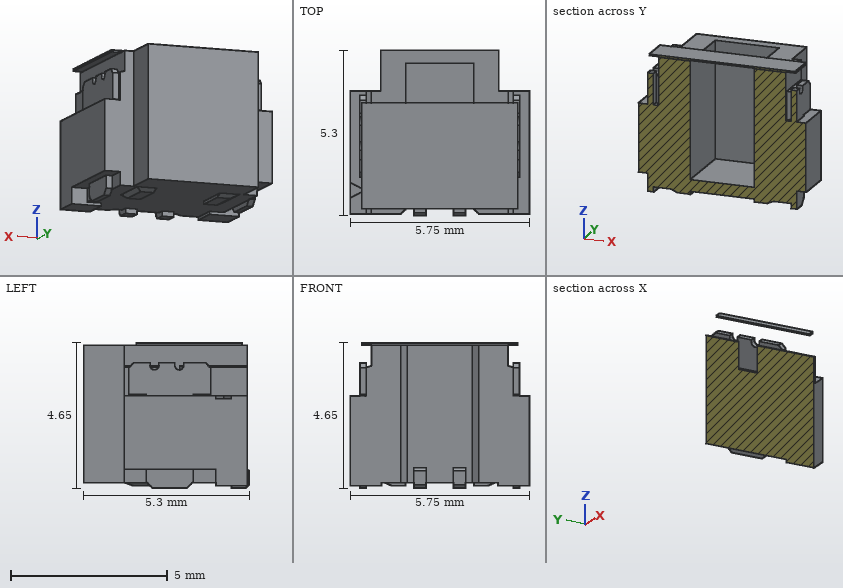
import cadquery as cq


total_height = 4.65
film_thickness = 0.07
film_width = 5.0
film_front = 0.165
film_back = 3.565

housing_width = 5.75
housing_depth = 5.25
housing_top = total_height - film_thickness
housing_bottom = 0.165
rear_width = 3.785
step_y = 3.945

shoulder_z = 2.955
waist_half_width = 2.35
crown_half_width = 2.19
ledge_outer_z = 3.87
ledge_inner_z = 3.92

side_cutout_z = 0.61
leg_depth = 1.01
leg_bottom = 0.07
leg_inner_x = 1.865

recess_mouth_width = 2.505
recess_floor_width = 2.095
recess_depth = 0.195

pocket_width = 2.185
wall_thickness = 0.415
pocket_front = recess_depth + wall_thickness
pocket_back = housing_depth - wall_thickness
pocket_floor_z = housing_bottom + wall_thickness

mark_base = 0.495
mark_length = 0.485
mark_depth = 0.09
mark_y = 0.765

tab_thickness = 0.205
tab_center_y = 2.49
tab_width = 2.62
tab_top = 4.015
tab_wing_bottom = 3.0
tab_chamfer = 0.155
tab_stem_width = 1.495
tab_foot_chamfer = 0.195
notch_radius = 0.14
notch_depth = 0.225
notch_ys = (2.185, 2.98)

groove_y = 2.415
groove_floor_width = 0.495
groove_mouth_width = 0.815

pad_inner_x = pocket_width / 2
pad_outer_x = 1.76
pad_front = tab_center_y
pad_back = 3.92
pad_side_slope = 0.225
pad_back_slope = 0.27

contact_x = 0.63
contact_width = 0.395
contact_front = -0.05
contact_foot_back = 0.51
contact_top = 0.655
contact_chamfer = 0.105


def block(x_range, y_range, z_range):
    """Box between the given limits."""
    x0, x1 = x_range
    y0, y1 = y_range
    z0, z1 = z_range
    return cq.Workplane("XY").box(x1 - x0, y1 - y0, z1 - z0, centered=False).translate((x0, y0, z0))


def front_block():
    """Stepped front profile, symmetric about x = 0, carried back to the rear block."""
    right_side = [
        (leg_inner_x, housing_bottom),
        (leg_inner_x, leg_bottom),
        (housing_width / 2, leg_bottom),
        (housing_width / 2, shoulder_z),
        (waist_half_width, shoulder_z),
        (waist_half_width, ledge_outer_z),
        (crown_half_width, ledge_inner_z),
        (crown_half_width, housing_top),
    ]
    left_side = [(-x, z) for x, z in reversed(right_side)]
    return cq.Workplane("XZ").polyline(right_side + left_side).close().extrude(-step_y)


def rear_block():
    return block(
        (-rear_width / 2, rear_width / 2), (step_y, housing_depth), (housing_bottom, housing_top)
    )


def side_cutout(side):
    """Space behind a front leg, below the side wall and in to the tab's inner face."""
    outer = sorted((side * waist_half_width, side * housing_width / 2))
    wall_cut = block(outer, (leg_depth, step_y), (0, side_cutout_z))
    under = sorted((side * leg_inner_x, side * waist_half_width))
    floor_cut = block(under, (leg_depth, step_y), (0, housing_bottom))
    return wall_cut.union(floor_cut)


def front_recess():
    outline = [
        (-recess_mouth_width / 2, 0),
        (recess_mouth_width / 2, 0),
        (recess_floor_width / 2, recess_depth),
        (-recess_floor_width / 2, recess_depth),
    ]
    return cq.Workplane("XY").polyline(outline).close().extrude(housing_top)


def top_pocket():
    return block(
        (-pocket_width / 2, pocket_width / 2), (pocket_front, pocket_back), (pocket_floor_z, housing_top)
    )


def pin_one_mark():
    edge_x = -housing_width / 2
    outline = [
        (edge_x, mark_y - mark_base / 2),
        (edge_x + mark_length, mark_y),
        (edge_x, mark_y + mark_base / 2),
    ]
    floor = cq.Workplane("XY").workplane(offset=shoulder_z - mark_depth)
    return floor.polyline(outline).close().extrude(mark_depth)


def tab_groove(side):
    """Groove behind a tab, from the shoulder up, cut in to the crown and flared outward."""
    floor_x = side * crown_half_width
    mouth_x = side * waist_half_width
    outline = [
        (floor_x, groove_y - groove_floor_width / 2),
        (mouth_x, groove_y - groove_mouth_width / 2),
        (mouth_x, groove_y + groove_mouth_width / 2),
        (floor_x, groove_y + groove_floor_width / 2),
    ]
    shoulder = cq.Workplane("XY").workplane(offset=shoulder_z)
    return shoulder.polyline(outline).close().extrude(ledge_inner_z - shoulder_z)


def floor_pad(side):
    """Pad under the floor, sloped on its outer and rear sides."""
    across = [
        (side * pad_inner_x, housing_bottom),
        (side * pad_inner_x, leg_bottom),
        (side * (pad_outer_x - pad_side_slope), leg_bottom),
        (side * pad_outer_x, housing_bottom),
    ]
    along = [
        (pad_front, housing_bottom),
        (pad_front, leg_bottom),
        (pad_back - pad_back_slope, leg_bottom),
        (pad_back, housing_bottom),
    ]
    cross_section = cq.Workplane("XZ").polyline(across).close().extrude(-step_y)
    side_profile = cq.Workplane("YZ").polyline(along).close().extrude(pad_outer_x, both=True)
    return cross_section.intersect(side_profile)


def side_tab(side):
    """Upright plate with a notched top and a narrower stem ending in a solder foot."""
    half_width = tab_width / 2
    half_stem = tab_stem_width / 2
    back_half = [
        (half_stem - tab_foot_chamfer, 0),
        (half_stem, tab_foot_chamfer),
        (half_stem, tab_wing_bottom),
        (half_width, tab_wing_bottom),
        (half_width, tab_top - tab_chamfer),
        (half_width - tab_chamfer, tab_top),
    ]
    front_half = [(-y, z) for y, z in reversed(back_half)]
    outline = [(tab_center_y + y, z) for y, z in back_half + front_half]
    tab = cq.Workplane("YZ").polyline(outline).close().extrude(tab_thickness)

    notch_height = 2 * notch_depth
    for y in notch_ys:
        notch = (
            cq.Workplane("YZ")
            .center(y, tab_top)
            .slot2D(notch_height, 2 * notch_radius, 90)
            .extrude(tab_thickness)
        )
        tab = tab.cut(notch)
    inner_x = waist_half_width if side > 0 else -waist_half_width - tab_thickness
    return tab.translate((inner_x, 0, 0))


def contact(x):
    """Upright contact end in the front recess with a solder foot running back under the floor."""
    outline = [
        (contact_front, contact_chamfer),
        (contact_front + contact_chamfer, 0),
        (contact_foot_back, 0),
        (contact_foot_back, housing_bottom),
        (recess_depth, housing_bottom),
        (recess_depth, contact_top),
        (contact_front + contact_chamfer, contact_top),
        (contact_front, contact_top - contact_chamfer),
    ]
    profile = cq.Workplane("YZ").polyline(outline).close()
    return profile.extrude(contact_width / 2, both=True).translate((x, 0, 0))


def make_housing():
    housing = front_block().union(rear_block())
    housing = housing.cut(front_recess()).cut(top_pocket()).cut(pin_one_mark())
    for side in (-1, 1):
        housing = housing.cut(side_cutout(side)).cut(tab_groove(side))
        housing = housing.union(side_tab(side)).union(floor_pad(side))
        housing = housing.union(contact(side * contact_x))
    return housing


def make_cover_film():
    return block((-film_width / 2, film_width / 2), (film_front, film_back), (housing_top, total_height))


housing = make_housing()
cover_film = make_cover_film()
result = cq.Compound.makeCompound([housing.val(), cover_film.val()])